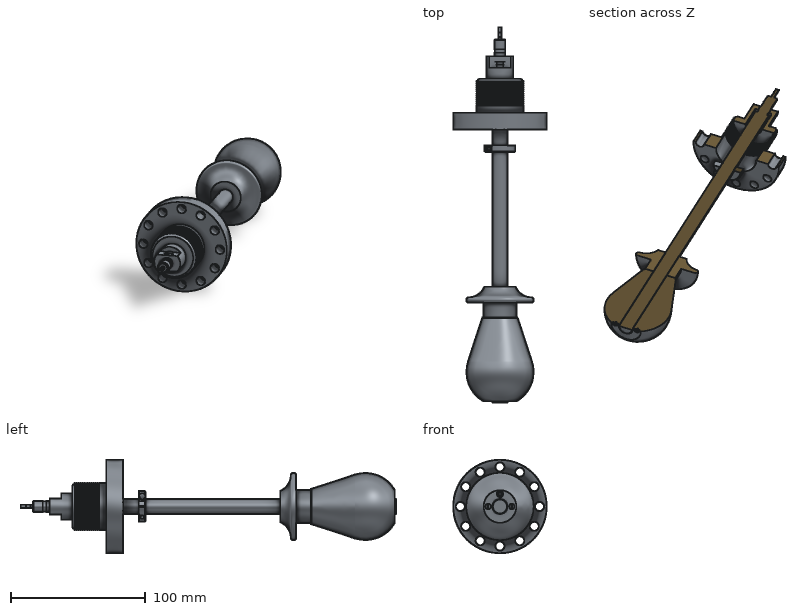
import cadquery as cq
import math


flange_diameter = 69.5
flange_thickness = 12.7
bolt_count = 12
bolt_circle_diameter = 58.7
bolt_hole_diameter = 6.6
barrel_diameter = 35.0
barrel_end_y = 37.8
barrel_chamfer = 2.0
thread_pitch = 1.5
thread_turns = 12
thread_depth = 0.75
thread_start_y = barrel_end_y - barrel_chamfer - thread_turns * thread_pitch
housing_bore_diameter = 32.4
housing_bore_depth = 32.0

neck_diameter = 20.0
neck_end_y = 54.6
neck_across_flats = 12.0
flat_length = 8.6
neck_bore_diameter = 13.0
neck_bore_end_y = 50.3

shaft_diameter = 11.2
shaft_end_chamfer = 0.4
shaft_protrusion = 1.2
shaft_shoulder_y = 48.2
plug_diameter = 8.2
plug_end_y = 67.2
plug_chamfer = 0.8
plug_groove_start_y = 56.9
plug_groove_length = 2.6
plug_groove_depth = 0.15
pin_diameter = 2.6
pin_end_y = 76.1
pin_ring_width = 0.4
pin_ring_depth = 0.15
pin_ring_ys = (68.6, 72.0)

collar_diameter = 23.0
collar_top_y = -11.7
collar_width = 5.0
collar_chamfer = 0.8
collar_slit_width = 1.0
clamp_screw_x = -8.2
clamp_screw_diameter = 2.6
clamp_head_diameter = 4.4
clamp_head_seat_z = 4.0
tapped_hole_depth = 9.0

guard_top_y = -116.4
guard_top_radius = 11.6
guard_rim_radius = 25.0
guard_rim_top_y = -124.2
guard_rim_thickness = 4.1
guard_rim_top_fillet = 1.9
guard_rim_bottom_fillet = 1.9
sleeve_radius = 12.4

knob_start_y = -139.1
knob_lip_radius = 13.0
knob_lip_length = 0.8
knob_neck_radius = 13.3
knob_ball_radius = 25.0
knob_ball_center_y = -179.6
knob_end_face_radius = 12.1
recess_depth = 1.0
side_recess_diameter = 4.0
side_recess_offset = 8.75
side_recess_slot_width = 0.5
top_recess_diameter = 4.8
top_recess_hole_diameter = 2.4
top_recess_offset = 9.3

knob_end_y = knob_ball_center_y - math.sqrt(knob_ball_radius**2 - knob_end_face_radius**2)
shaft_end_y = knob_end_y - shaft_protrusion


def cylinder(diameter, start_y, end_y, x=0.0, z=0.0):
    """Cylinder along Y between two stations."""
    return (
        cq.Workplane("XZ", origin=(x, start_y, z))
        .circle(diameter / 2)
        .extrude(start_y - end_y)
    )


def revolve_about_y(profile):
    """Full turn of a closed (radius, Y) profile about the Y axis."""
    return profile.close().revolve(360, (0, 0, 0), (0, 1, 0))


def thread_groove(center_y):
    """Ring with a V section that cuts one thread groove in the barrel."""
    outer = barrel_diameter / 2
    half_width = thread_pitch / 2
    return revolve_about_y(
        cq.Workplane("XY")
        .moveTo(outer, center_y - half_width)
        .lineTo(outer - thread_depth, center_y)
        .lineTo(outer, center_y + half_width)
        .lineTo(outer + 1, center_y + half_width)
        .lineTo(outer + 1, center_y - half_width)
    )


def ring_groove(diameter, depth, start_y, length):
    """Square-sided ring that cuts a groove in a cylinder of the given diameter."""
    return cylinder(diameter + 2, start_y, start_y + length).cut(
        cylinder(diameter - 2 * depth, start_y, start_y + length)
    )


def make_housing():
    flange = cylinder(flange_diameter, 0, flange_thickness)
    barrel = cylinder(barrel_diameter, 0, barrel_end_y).faces(">Y").chamfer(barrel_chamfer)
    neck = cylinder(neck_diameter, barrel_end_y - 1, neck_end_y)

    flat_center_y = neck_end_y - flat_length / 2
    flat_cut_height = neck_diameter / 2
    for side in (-1, 1):
        cut_center_z = side * (neck_across_flats + flat_cut_height) / 2
        neck = neck.cut(
            cq.Workplane("XY")
            .box(neck_diameter, flat_length, flat_cut_height)
            .translate((0, flat_center_y, cut_center_z))
        )

    for turn in range(thread_turns):
        barrel = barrel.cut(thread_groove(thread_start_y + (turn + 0.5) * thread_pitch))

    housing = flange.union(barrel).union(neck)
    for index in range(bolt_count):
        angle = 2 * math.pi * index / bolt_count
        housing = housing.cut(
            cylinder(
                bolt_hole_diameter,
                0,
                flange_thickness,
                bolt_circle_diameter / 2 * math.cos(angle),
                bolt_circle_diameter / 2 * math.sin(angle),
            )
        )
    housing = housing.cut(cylinder(housing_bore_diameter, 0, housing_bore_depth))
    housing = housing.cut(cylinder(neck_bore_diameter, housing_bore_depth, neck_bore_end_y))
    return housing.cut(cylinder(plug_diameter, neck_bore_end_y, neck_end_y))


def make_shaft():
    rod = cylinder(shaft_diameter, shaft_end_y, shaft_shoulder_y)
    rod = rod.faces("<Y").chamfer(shaft_end_chamfer)
    plug = cylinder(plug_diameter, shaft_shoulder_y, plug_end_y).faces(">Y").chamfer(plug_chamfer)
    plug = plug.cut(
        ring_groove(plug_diameter, plug_groove_depth, plug_groove_start_y, plug_groove_length)
    )
    pin = cylinder(pin_diameter, plug_end_y, pin_end_y)
    for ring_y in pin_ring_ys:
        pin = pin.cut(ring_groove(pin_diameter, pin_ring_depth, ring_y, pin_ring_width))
    return rod.union(plug).union(pin)


def collar_screw_cut(diameter, bottom_z, top_z):
    """Round cut along Z on the axis of the clamp screw."""
    return (
        cq.Workplane("XY", origin=(clamp_screw_x, collar_top_y - collar_width / 2, bottom_z))
        .circle(diameter / 2)
        .extrude(top_z - bottom_z)
    )


def make_collar():
    collar_radius = collar_diameter / 2
    bottom_y = collar_top_y - collar_width
    middle_y = collar_top_y - collar_width / 2
    collar = cylinder(collar_diameter, bottom_y, collar_top_y).faces("<Y").chamfer(collar_chamfer)
    collar = collar.cut(cylinder(shaft_diameter, bottom_y, collar_top_y))
    slit = (
        cq.Workplane("XY")
        .box(collar_diameter, collar_width, collar_slit_width)
        .translate((-collar_radius, middle_y, 0))
    )
    clearance_hole = collar_screw_cut(clamp_screw_diameter, 0, clamp_head_seat_z)
    head_recess = collar_screw_cut(clamp_head_diameter, clamp_head_seat_z, collar_radius)
    tapped_hole = collar_screw_cut(
        clamp_screw_diameter, -collar_radius, tapped_hole_depth - collar_radius
    )
    return collar.cut(slit).cut(clearance_hole).cut(head_recess).cut(tapped_hole)


def make_guard():
    bore = shaft_diameter / 2
    rim_bottom_y = guard_rim_top_y - guard_rim_thickness
    flare_end_radius = guard_rim_radius - guard_rim_top_fillet
    flare_width = flare_end_radius - guard_top_radius
    flare_height = guard_top_y - guard_rim_top_y
    flare_radius = (flare_width**2 + flare_height**2) / (2 * flare_height)
    half_sweep = math.asin(flare_width / flare_radius) / 2
    flare_middle = (
        flare_end_radius - flare_radius * math.sin(half_sweep),
        guard_rim_top_y + flare_radius * (1 - math.cos(half_sweep)),
    )
    top_fillet = guard_rim_top_fillet
    bottom_fillet = guard_rim_bottom_fillet
    return revolve_about_y(
        cq.Workplane("XY")
        .moveTo(bore, guard_top_y)
        .lineTo(guard_top_radius, guard_top_y)
        .threePointArc(flare_middle, (flare_end_radius, guard_rim_top_y))
        .radiusArc((guard_rim_radius, guard_rim_top_y - top_fillet), top_fillet)
        .lineTo(guard_rim_radius, rim_bottom_y + bottom_fillet)
        .radiusArc((guard_rim_radius - bottom_fillet, rim_bottom_y), bottom_fillet)
        .lineTo(sleeve_radius, rim_bottom_y)
        .lineTo(sleeve_radius, knob_start_y)
        .lineTo(bore, knob_start_y)
    )


def knob_recess(diameter, depth, x, z):
    """Round recess in the end face of the knob."""
    return cylinder(diameter, knob_end_y, knob_end_y + depth, x, z)


def make_knob():
    bore = shaft_diameter / 2
    cone_start_y = knob_start_y - knob_lip_length
    rise = cone_start_y - knob_ball_center_y
    tangent_angle = math.atan2(rise, knob_neck_radius) - math.acos(
        knob_ball_radius / math.hypot(rise, knob_neck_radius)
    )
    tangent_point = (
        knob_ball_radius * math.cos(tangent_angle),
        knob_ball_center_y + knob_ball_radius * math.sin(tangent_angle),
    )
    knob = revolve_about_y(
        cq.Workplane("XY")
        .moveTo(bore, knob_start_y)
        .lineTo(knob_lip_radius, knob_start_y)
        .lineTo(knob_lip_radius, cone_start_y)
        .lineTo(knob_neck_radius, cone_start_y)
        .lineTo(*tangent_point)
        .threePointArc((knob_ball_radius, knob_ball_center_y), (knob_end_face_radius, knob_end_y))
        .lineTo(bore, knob_end_y)
    )
    for side in (-1, 1):
        recess_x = side * side_recess_offset
        knob = knob.cut(knob_recess(side_recess_diameter, recess_depth, recess_x, 0))
        knob = knob.cut(
            cq.Workplane("XY")
            .box(side_recess_slot_width, 2 * recess_depth, side_recess_diameter)
            .translate((recess_x, knob_end_y + recess_depth, 0))
        )
    for diameter, depth in (
        (top_recess_diameter, recess_depth),
        (top_recess_hole_diameter, 2 * recess_depth),
    ):
        knob = knob.cut(knob_recess(diameter, depth, 0, top_recess_offset))
    return knob


housing = make_housing()
shaft = make_shaft()
collar = make_collar()
guard = make_guard()
knob = make_knob()

result = cq.Compound.makeCompound(
    [housing.val(), shaft.val(), collar.val(), guard.val(), knob.val()]
)